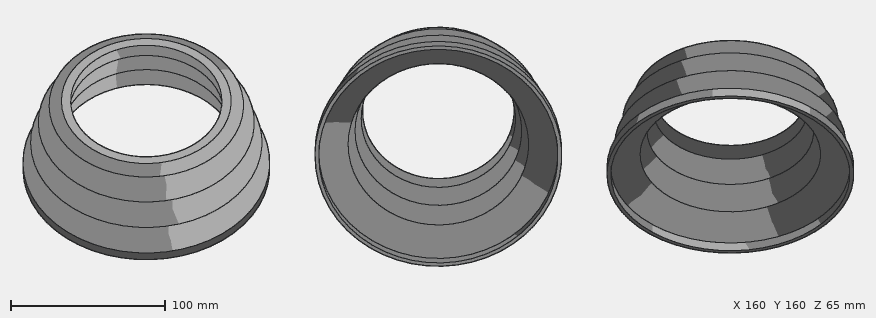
import cadquery as cq

height = 65.0
base_radius = 80.0
rim_height = 6.5
top_outer_radius = 55.0
opening_radius = 49.0
wall_width = 2.5

valleys = [(61.0, 17.0), (56.5, 36.3), (52.5, 54.2)]
crests = [(75.0, 25.5), (70.0, 44.5), (63.0, 60.8)]


def fold_points(inset):
    """Corners of the pleated wall from the rim upwards, moved inwards by inset."""
    points = [(base_radius - inset, 0), (base_radius - inset, rim_height)]
    for valley, crest in zip(valleys, crests):
        for radius, level in (valley, crest):
            points.append((radius - inset, level))
    return points


def bellows():
    """Thin pleated wall revolved about Z, open at the top and at the foot."""
    outside = fold_points(0) + [(top_outer_radius, height)]
    inside = fold_points(wall_width) + [(opening_radius, height)]
    profile = cq.Workplane("XZ").polyline(outside + inside[::-1]).close()
    return profile.revolve(360, (0, 0, 0), (0, 1, 0))


result = bellows()